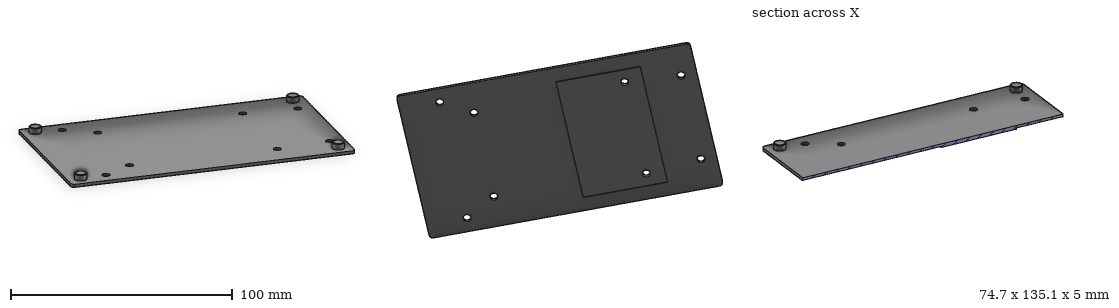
import cadquery as cq

plate_width = 74.7
plate_length = 135.1
plate_thickness = 1.5
corner_radius = 1.8

post_diameter = 5.5
post_height = 3.0
post_chamfer = 0.34
post_x = 31.6
post_y = 61.3

hole_diameter = 3.5
hole_pairs = [(22.0, 60.4), (24.0, 34.9), (22.0, -34.9), (30.4, -48.9)]

pad_width = 60.7
pad_length = 38.8
pad_thickness = 0.5
pad_center_y = 23.9


def make_plate():
    blank = cq.Workplane("XY").rect(plate_width, plate_length).extrude(plate_thickness)
    return blank.edges("|Z").fillet(corner_radius)


def make_pad():
    return cq.Workplane("XY").center(0, pad_center_y).rect(pad_width, pad_length).extrude(-pad_thickness)


def make_posts():
    posts = (
        cq.Workplane("XY", origin=(0, 0, plate_thickness))
        .rect(2 * post_x, 2 * post_y, forConstruction=True)
        .vertices()
        .circle(post_diameter / 2)
        .extrude(post_height)
    )
    return posts.faces(">Z").edges().chamfer(post_chamfer)


def make_holes():
    centers = [(side * x, y) for x, y in hole_pairs for side in (-1, 1)]
    return (
        cq.Workplane("XY", origin=(0, 0, -pad_thickness))
        .pushPoints(centers)
        .circle(hole_diameter / 2)
        .extrude(pad_thickness + plate_thickness)
    )


result = make_plate().union(make_pad()).union(make_posts()).cut(make_holes())